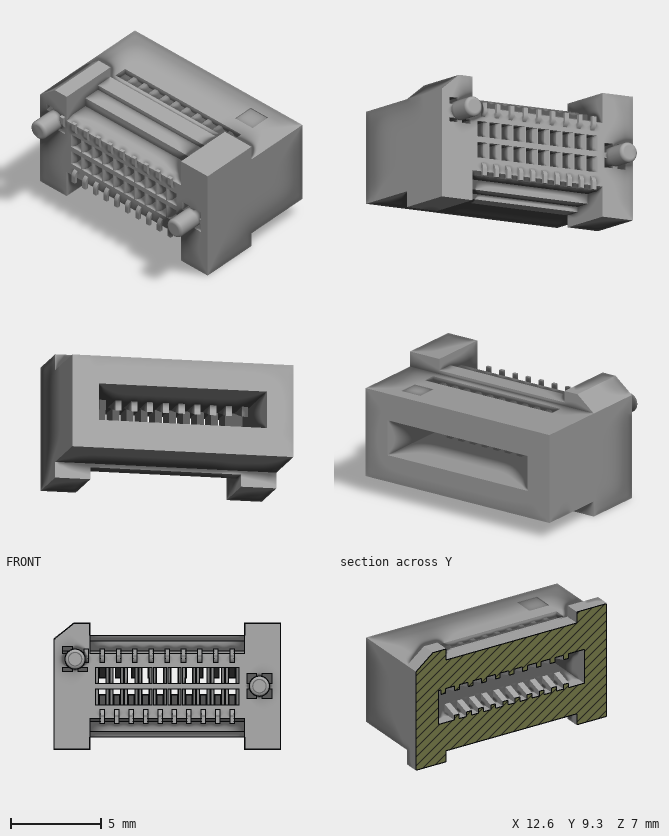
import cadquery as cq
import math


LENGTH = 12.6
HEIGHT = 7.0
HOUSING_DEPTH = 7.8
STEP_INSET = 0.9
BODY_TOP = HEIGHT / 2 - STEP_INSET
END_WALL_LENGTH = 2.0
END_WALL_DEPTH = 3.6
INNER_LENGTH = LENGTH - 2 * END_WALL_LENGTH
KEY_CHAMFER_X = 1.12

TERRACE_DEPTH = 1.03
TERRACE_LEVELS = [2.82, 2.52, 1.97]
LIP_LEVEL = 1.8
LIP_SLOPE_DEPTH = END_WALL_DEPTH - len(TERRACE_LEVELS) * TERRACE_DEPTH

CONTACT_COUNT = 10
LOWER_ROW_LENGTH = 7.21
UPPER_ROW_LENGTH = 8.1
LOWER_PITCH = LOWER_ROW_LENGTH / (CONTACT_COUNT - 1)
UPPER_PITCH = UPPER_ROW_LENGTH / (CONTACT_COUNT - 1)
ROW_END_X = LOWER_ROW_LENGTH / 2
LOWER_XS = [ROW_END_X - i * LOWER_PITCH for i in range(CONTACT_COUNT)]
UPPER_XS = [ROW_END_X - i * UPPER_PITCH for i in range(CONTACT_COUNT)]

WINDOW_WIDTH = 0.73
THROAT_WIDTH = 0.4
WINDOW_LEAD_IN = 0.28
WINDOW_BAR = 0.32
WINDOW_INNER_Z = WINDOW_BAR / 2
WINDOW_OUTER_Z = 1.03
CAVITY_START = 1.76
CAVITY_LENGTH = 9.58

ARM_LENGTH = 1.89
ARM_TIP_Z = 0.47
ARM_WIDTH = 0.35

TAIL_WIDTH = 0.25
TAIL_THICKNESS = 0.19
TAIL_REACH = 0.23
TAIL_TIP_Z = 2.07
TAIL_BEND_Z = 1.66
TAIL_BEND_RADIUS = 0.4

PIN_DIAMETER = 1.12
PIN_LENGTH = 1.5
PIN_END_FILLET = 0.19
PIN_X = 5.12
LEFT_PIN_Z = 1.5
POCKET_HALF = 0.69
POCKET_RIB_HALF = 0.15
POCKET_DEPTH = 1.01

SLOT_LENGTH = 8.73
SLOT_FRONT = 4.1
SLOT_BACK = 4.88
SLOT_DEPTH = 0.37
RIDGE_HEIGHT = 0.15
RIDGE_TOP_WIDTH = 0.23
RIDGE_BASE_WIDTH = 0.52
MARK_SIZE_X = 1.31
MARK_SIZE_Y = 1.27
MARK_X = 3.79
MARK_Y = 6.36
MARK_DEPTH = 0.06


def block(x_range, y_range, z_range):
    """Box between the given limits, in any order."""
    sizes = [abs(b - a) for a, b in (x_range, y_range, z_range)]
    corner = [min(limits) for limits in (x_range, y_range, z_range)]
    return cq.Workplane("XY").box(*sizes, centered=False).translate(tuple(corner))


def side_profile(points, x_center, width):
    """Extrude a closed (y, z) outline along X, centred on x_center."""
    return cq.Workplane("YZ", origin=(x_center - width / 2, 0, 0)).polyline(points).close().extrude(width)


def flip_z(shape):
    """Mirror an upper feature to its lower twin."""
    return shape.mirror("XY")


def end_walls():
    half = LENGTH / 2
    top = HEIGHT / 2
    left = (
        cq.Workplane("XZ")
        .polyline([
            (-half, -top),
            (-half, BODY_TOP),
            (-half + KEY_CHAMFER_X, top),
            (-INNER_LENGTH / 2, top),
            (-INNER_LENGTH / 2, -top),
        ])
        .close()
        .extrude(-END_WALL_DEPTH)
    )
    right = block((INNER_LENGTH / 2, half), (0, END_WALL_DEPTH), (-top, top))
    return left.union(right)


def terraced_core():
    """Block between the end walls, stepping down toward the mounting face."""
    upper = [(END_WALL_DEPTH, TERRACE_LEVELS[0])]
    for i, level in enumerate(TERRACE_LEVELS):
        back = END_WALL_DEPTH - i * TERRACE_DEPTH
        if i > 0:
            upper.append((back, level))
        upper.append((back - TERRACE_DEPTH, level))
    upper.append((0, LIP_LEVEL))
    lower = [(y, -z) for y, z in reversed(upper)]
    return side_profile(upper + lower, 0, INNER_LENGTH)


def housing():
    half = LENGTH / 2
    rear = block((-half, half), (END_WALL_DEPTH, HOUSING_DEPTH), (-BODY_TOP, BODY_TOP))
    return rear.union(end_walls()).union(terraced_core())


def window(x):
    """One upper window: side walls taper in from the mounting face, then run straight back."""
    opening = WINDOW_WIDTH / 2
    throat = THROAT_WIDTH / 2
    outline = [
        (x - opening, 0),
        (x - throat, WINDOW_LEAD_IN),
        (x - throat, CAVITY_START),
        (x + throat, CAVITY_START),
        (x + throat, WINDOW_LEAD_IN),
        (x + opening, 0),
    ]
    height = WINDOW_OUTER_Z - WINDOW_INNER_Z
    return cq.Workplane("XY", origin=(0, 0, WINDOW_INNER_Z)).polyline(outline).close().extrude(height)


def mating_cavity():
    half = CAVITY_LENGTH / 2
    return block((-half, half), (CAVITY_START, HOUSING_DEPTH), (-WINDOW_OUTER_Z, WINDOW_OUTER_Z))


def contact_arm(x):
    """Upper contact arm: slopes down from the cavity ceiling to its tip."""
    tip_y = CAVITY_START + ARM_LENGTH
    wedge = [(CAVITY_START, WINDOW_OUTER_Z), (tip_y, WINDOW_OUTER_Z), (tip_y, ARM_TIP_Z)]
    return side_profile(wedge, x, ARM_WIDTH)


def solder_tail(x):
    """Upper solder tail: leaves the mounting face and bends up in front of it."""
    center_y = TAIL_BEND_RADIUS - TAIL_REACH
    inner_radius = TAIL_BEND_RADIUS - TAIL_THICKNESS
    diagonal = math.sqrt(0.5)

    def bend_middle(radius):
        return (center_y - radius * diagonal, TAIL_BEND_Z - radius * diagonal)

    return (
        cq.Workplane("YZ", origin=(x - TAIL_WIDTH / 2, 0, 0))
        .moveTo(-TAIL_REACH, TAIL_TIP_Z)
        .lineTo(-TAIL_REACH, TAIL_BEND_Z)
        .threePointArc(bend_middle(TAIL_BEND_RADIUS), (center_y, TAIL_BEND_Z - TAIL_BEND_RADIUS))
        .lineTo(center_y, TAIL_BEND_Z - inner_radius)
        .threePointArc(bend_middle(inner_radius), (center_y - inner_radius, TAIL_BEND_Z))
        .lineTo(center_y - inner_radius, TAIL_TIP_Z)
        .close()
        .extrude(TAIL_WIDTH)
    )


def locating_pin(x, z):
    """Round pin standing on the floor of its pockets."""
    return (
        cq.Workplane("XZ", origin=(x, POCKET_DEPTH, z))
        .circle(PIN_DIAMETER / 2)
        .extrude(POCKET_DEPTH + PIN_LENGTH)
        .faces("<Y")
        .edges()
        .fillet(PIN_END_FILLET)
    )


def right_pin_pockets():
    """Four square pockets in the corners around the right pin, parted by a cross."""
    pockets = cq.Workplane("XY")
    for side_x in (-1, 1):
        for side_z in (-1, 1):
            x_range = (PIN_X + side_x * POCKET_RIB_HALF, PIN_X + side_x * POCKET_HALF)
            z_range = (side_z * POCKET_RIB_HALF, side_z * POCKET_HALF)
            pockets = pockets.union(block(x_range, (0, POCKET_DEPTH), z_range))
    return pockets


def left_pin_pockets():
    """Pockets around the left pin, left over above and below the strip that holds the upper tails."""
    pockets = cq.Workplane("XY")
    for side_x in (-1, 1):
        x_range = (-PIN_X + side_x * POCKET_RIB_HALF, -PIN_X + side_x * POCKET_HALF)
        z_range = (LEFT_PIN_Z - POCKET_HALF, WINDOW_OUTER_Z)
        pockets = pockets.union(block(x_range, (0, POCKET_DEPTH), z_range))
    pocket_top = LEFT_PIN_Z + POCKET_HALF
    strip_top = TERRACE_LEVELS[-1]
    upper = side_profile(
        [
            (0, LIP_LEVEL),
            (LIP_SLOPE_DEPTH, strip_top),
            (POCKET_DEPTH, strip_top),
            (POCKET_DEPTH, pocket_top),
            (0, pocket_top),
        ],
        -PIN_X - (POCKET_HALF + POCKET_RIB_HALF) / 2,
        POCKET_HALF - POCKET_RIB_HALF,
    )
    return pockets.union(upper)


def top_slot():
    """Slot in the top face, less the trapezoid ridges that stand on its floor."""
    floor = BODY_TOP - SLOT_DEPTH
    slot = block((-SLOT_LENGTH / 2, SLOT_LENGTH / 2), (SLOT_FRONT, SLOT_BACK), (floor, BODY_TOP))
    for x in LOWER_XS:
        ridge = (
            cq.Workplane("XZ", origin=(x, SLOT_FRONT, floor))
            .polyline([
                (-RIDGE_BASE_WIDTH / 2, 0),
                (RIDGE_BASE_WIDTH / 2, 0),
                (RIDGE_TOP_WIDTH / 2, RIDGE_HEIGHT),
                (-RIDGE_TOP_WIDTH / 2, RIDGE_HEIGHT),
            ])
            .close()
            .extrude(SLOT_FRONT - SLOT_BACK)
        )
        slot = slot.cut(ridge)
    return slot


def marking_recess():
    """Shallow rectangular recess in the top face."""
    return block(
        (MARK_X - MARK_SIZE_X / 2, MARK_X + MARK_SIZE_X / 2),
        (MARK_Y - MARK_SIZE_Y / 2, MARK_Y + MARK_SIZE_Y / 2),
        (BODY_TOP - MARK_DEPTH, BODY_TOP),
    )


result = housing()
result = result.cut(mating_cavity())
for x in LOWER_XS:
    result = result.cut(window(x)).cut(flip_z(window(x)))
result = result.cut(top_slot()).cut(marking_recess())
result = result.cut(right_pin_pockets()).cut(left_pin_pockets())

for x in UPPER_XS:
    result = result.union(contact_arm(x)).union(solder_tail(x))
for x in LOWER_XS:
    result = result.union(flip_z(contact_arm(x))).union(flip_z(solder_tail(x)))
result = result.union(locating_pin(-PIN_X, LEFT_PIN_Z)).union(locating_pin(PIN_X, 0))